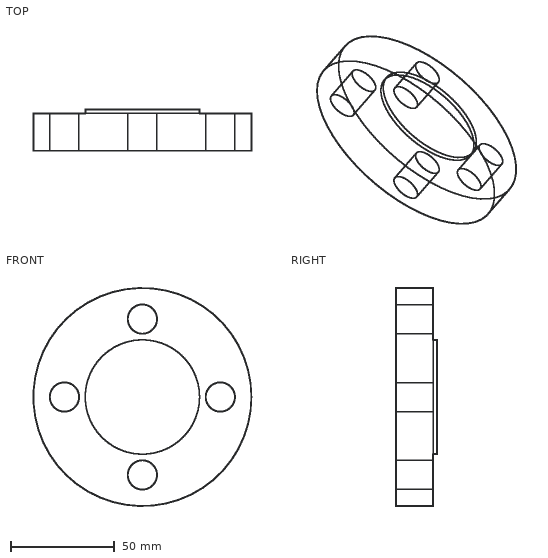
import cadquery as cq

flange_diameter = 105.0
total_thickness = 20.0
raised_face_height = 2.0
raised_face_diameter = 55.0
bolt_circle_diameter = 75.0
bolt_hole_diameter = 14.0
bolt_count = 4

plate_thickness = total_thickness - raised_face_height


def disc(diameter, front_y, thickness):
    """Disc on the Y axis, running from front_y towards +Y."""
    profile = cq.Workplane("XZ", origin=(0, front_y, 0)).circle(diameter / 2)
    return profile.extrude(-thickness)


def bolt_holes():
    """Cutters through the plate, evenly spaced on the bolt circle."""
    centers = cq.Workplane("XZ").polarArray(bolt_circle_diameter / 2, 0, 360, bolt_count)
    return centers.circle(bolt_hole_diameter / 2).extrude(-plate_thickness)


plate = disc(flange_diameter, 0, plate_thickness)
raised_face = disc(raised_face_diameter, plate_thickness, raised_face_height)

result = plate.union(raised_face).cut(bolt_holes())